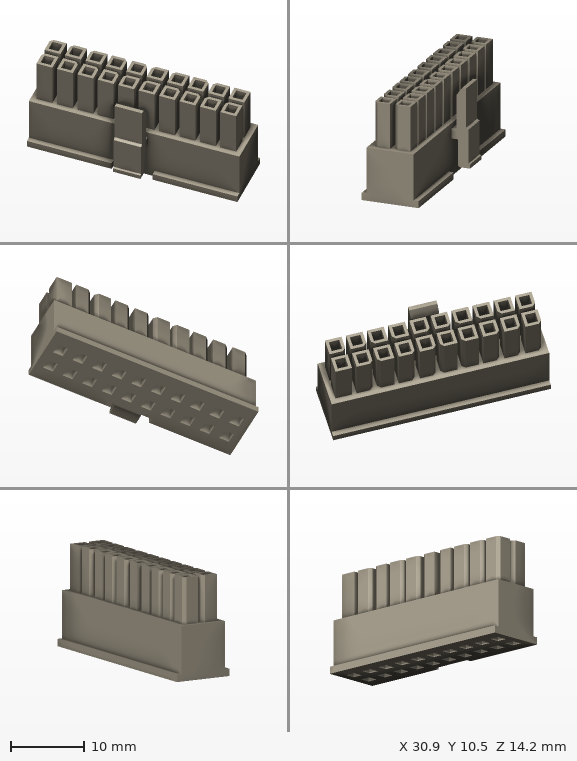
import cadquery as cq


LENGTH = 30.85
BODY_DEPTH = 6.97
BODY_TOP = 7.7
FLANGE_REACH = 0.75
FLANGE_HEIGHT = 1.02
FLANGE_GAP = 6.02

PITCH = 3.0
TOWER_SIZE = 2.35
TOWER_TOP = 14.2
KEY_CHAMFER = 0.45
CAVITY_SIZE = 1.48

BACK_ROW_KEYS = "LLLRRLLRL-"
FRONT_ROW_KEYS = "LRRRLLRRLL"

LATCH_WIDTH = 4.0
BRIDGE_BOTTOM = 5.5
BRIDGE_TOP = 6.88
LEVER_INNER = 0.75
LEVER_OUTER = 2.13
LEVER_TOP = 13.02
LEVER_SLOPE_RUN = 0.8
LEVER_SLOPE_DROP = 1.1
ARM_INNER = 0.95
ARM_OUTER = 2.5
ARM_BOTTOM = 1.48
SHOULDER_BOTTOM = 7.1
SHOULDER_TOP = 7.3
LIP_REACH = 2.75
LIP_EDGE = 2.1
LIP_TOP = 2.2
TOE_RUN = 0.25
TOE_RISE = 0.15

FRONT_FACE = -BODY_DEPTH / 2


def make_housing():
    """Rectangular body with a base flange on both long sides, interrupted under the latch."""
    body = cq.Workplane("XY").box(LENGTH, BODY_DEPTH, BODY_TOP, centered=(True, True, False))
    flange_depth = BODY_DEPTH + 2 * FLANGE_REACH
    flange = cq.Workplane("XY").box(LENGTH, flange_depth, FLANGE_HEIGHT, centered=(True, True, False))
    gap = (
        cq.Workplane("XY")
        .center(0, FRONT_FACE - FLANGE_REACH / 2)
        .rect(FLANGE_GAP, FLANGE_REACH)
        .extrude(FLANGE_HEIGHT)
    )
    return body.union(flange.cut(gap))


def tower_centres(row_y, count):
    """Evenly spaced tower centres of one row, symmetric about X = 0."""
    return [((column - (count - 1) / 2) * PITCH, row_y) for column in range(count)]


def make_tower(centre, key):
    """Square tower on top of the body, with one +Y vertical edge chamfered as its key."""
    tower = (
        cq.Workplane("XY")
        .workplane(offset=BODY_TOP)
        .rect(TOWER_SIZE, TOWER_SIZE)
        .extrude(TOWER_TOP - BODY_TOP)
    )
    if key == "L":
        tower = tower.edges("|Z and <X and >Y").chamfer(KEY_CHAMFER)
    elif key == "R":
        tower = tower.edges("|Z and >X and >Y").chamfer(KEY_CHAMFER)
    return tower.translate((centre[0], centre[1], 0))


def make_latch():
    """Rocking lever carried by a bridge on the front face, extruded across its width."""
    outline = [
        (0, BRIDGE_BOTTOM),
        (ARM_INNER, BRIDGE_BOTTOM),
        (ARM_INNER, ARM_BOTTOM + TOE_RISE),
        (ARM_INNER + TOE_RUN, ARM_BOTTOM),
        (LIP_REACH, ARM_BOTTOM),
        (LIP_REACH, LIP_EDGE),
        (ARM_OUTER, LIP_TOP),
        (ARM_OUTER, SHOULDER_BOTTOM),
        (LEVER_OUTER, SHOULDER_TOP),
        (LEVER_OUTER, LEVER_TOP),
        (LEVER_INNER + LEVER_SLOPE_RUN, LEVER_TOP),
        (LEVER_INNER, LEVER_TOP - LEVER_SLOPE_DROP),
        (LEVER_INNER, BRIDGE_TOP),
        (0, BRIDGE_TOP),
    ]
    return (
        cq.Workplane("YZ")
        .polyline([(FRONT_FACE - reach, height) for reach, height in outline])
        .close()
        .extrude(LATCH_WIDTH / 2, both=True)
    )


result = make_housing().union(make_latch())

cavity_centres = []
for row_y, keys in ((PITCH / 2, BACK_ROW_KEYS), (-PITCH / 2, FRONT_ROW_KEYS)):
    row_centres = tower_centres(row_y, len(keys))
    cavity_centres += row_centres
    for centre, key in zip(row_centres, keys):
        result = result.union(make_tower(centre, key))

cavities = (
    cq.Workplane("XY")
    .pushPoints(cavity_centres)
    .rect(CAVITY_SIZE, CAVITY_SIZE)
    .extrude(TOWER_TOP)
)
result = result.cut(cavities)